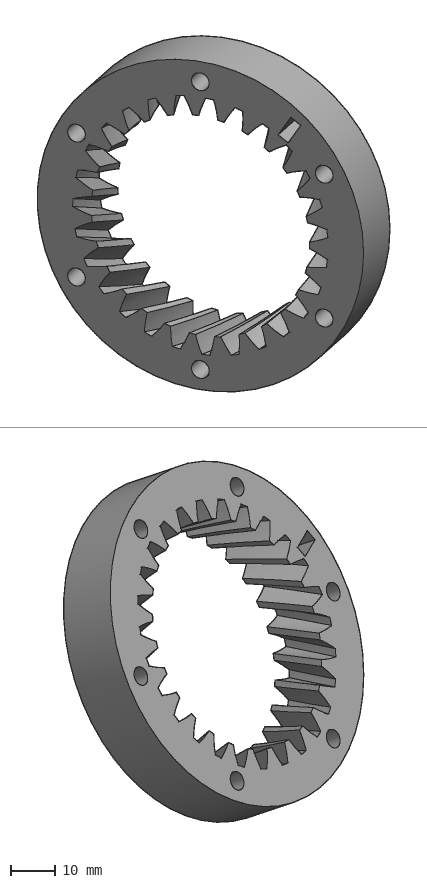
import cadquery as cq
import math

outer_diameter = 80.0
thickness = 15.0

tooth_count = 27
tip_radius = 26.7
root_radius = 31.3
gap_half_width_tip = 2.3
gap_half_width_middle = 1.8
gap_half_width_root = 1.0
front_gap_angle = 5.8
twist_angle = 11.1

hole_count = 6
hole_diameter = 4.3
hole_circle_radius = 35.0

window_length = 5.7
window_width = 2.9
window_x = 21.8
window_z = 26.9
window_tilt = 57.0

tooth_pitch = 360 / tooth_count


def polar(radius, angle):
    """Point at the given radius and angle in degrees."""
    return (radius * math.cos(math.radians(angle)), radius * math.sin(math.radians(angle)))


def angle_at(half_width, radius):
    """Angle in degrees that a half width takes up at a radius."""
    return math.degrees(math.asin(half_width / radius))


def gear_opening():
    """Opening of the ring: the bore with a tapered gap between each pair of teeth, twisted along Y."""
    middle_radius = (tip_radius + root_radius) / 2
    tip_angle = angle_at(gap_half_width_tip, tip_radius)
    middle_angle = angle_at(gap_half_width_middle, middle_radius)
    root_angle = angle_at(gap_half_width_root, root_radius)
    back_gap_angle = front_gap_angle + twist_angle

    outline = cq.Workplane("XZ", origin=(0, thickness, 0))
    outline = outline.moveTo(*polar(tip_radius, back_gap_angle - tip_angle))
    for index in range(tooth_count):
        gap = back_gap_angle + index * tooth_pitch
        outline = (
            outline
            .threePointArc(polar(middle_radius, gap - middle_angle), polar(root_radius, gap - root_angle))
            .threePointArc(polar(root_radius, gap), polar(root_radius, gap + root_angle))
            .threePointArc(polar(middle_radius, gap + middle_angle), polar(tip_radius, gap + tip_angle))
            .threePointArc(
                polar(tip_radius, gap + tooth_pitch / 2),
                polar(tip_radius, gap + tooth_pitch - tip_angle),
            )
        )
    return outline.close().twistExtrude(thickness, -twist_angle)


def mounting_holes():
    """Through holes evenly spaced on a circle, the first at the top."""
    return (
        cq.Workplane("XZ", origin=(0, thickness, 0))
        .polarArray(hole_circle_radius, 90, 360, hole_count)
        .circle(hole_diameter / 2)
        .extrude(thickness)
    )


def window():
    """Tilted rectangular opening through the whole thickness."""
    return (
        cq.Workplane("XZ", origin=(0, thickness, 0))
        .center(window_x, window_z)
        .transformed(rotate=(0, 0, window_tilt))
        .rect(window_length, window_width)
        .extrude(thickness)
    )


ring = cq.Workplane("XZ", origin=(0, thickness, 0)).circle(outer_diameter / 2).extrude(thickness)
result = ring.cut(gear_opening()).cut(mounting_holes()).cut(window())